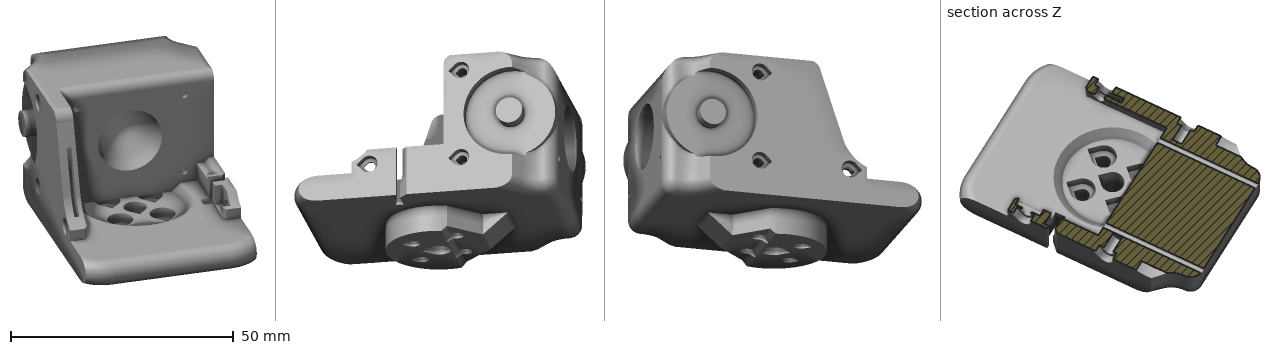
import cadquery as cq
import math

length = 60.2
half_width = 20.05
height = 32.9
base_thickness = 6
edge_radius = 2.95

block_depth = 25.05
inner_half_width = 16.0
nose_half_width = 16.2
nose_corner_radius = 3
flare_arc_radius = 6.1
flare_tangent_y = 19.0
top_front_radius = 6.5
block_rear_radius = 2.3

axis_z = 18.35
bore_y = 0.35
bore_diameter = 15.0
screw_diameter = 1.5
screw_span_y = 25.4
screw_span_z = 19.15

pivot_x = 10.0
pivot_disc_radius = 10.0
pivot_recess_radius = 10.5
pivot_face_y = 17.4
pin_diameter = 6
pin_end_y = 20.4

plate_end_x = 46.05
plate_top_x = 32.7
plate_corner_mid = (34.4, 32.2)
plate_slope_top = (35.3, 30.5)
plate_slope_foot = (40.8, 14.0)
plate_hollow_mid = (42.9, 10.95)
plate_shoulder_z = 8.7
plate_corner_chamfer = 0.6
low_plate_top = 11.45
nut_slot_start_x = 37.15
nut_slot_end_x = 43.35
nut_slot_inner_y = 17.05
nut_slot_outer_y = 18.2

side_hole_radius = 1.15
side_bore_radius = 2.0
side_bore_depth = 1.8
side_hole_depth = 6
side_hole_low_z = 7.95
side_hole_pitch = 21.0
side_hole_x = 21.15

rear_plan_radius = 9.5
rear_corner_y = 14.15

boss_x = 30.1
boss_radius = 12.0
boss_depth = 6.1
skirt_depth = 4.9
skirt_cut_x = 26.0
rib_half_width = 4.6
rib_start_x = 13.4
rib_end_x = 19.15
seat_top_radius = 13.25
seat_floor_radius = 11.3
seat_depth = 1.85
center_hole_radius = 2.65
mount_hole_radius = 1.6
mount_bore_radius = 2.95
mount_bore_depth = 2.4
mount_pitch = 9.95

slot_left_x = 35.4
slot_right_x = 37.0
slot_inner_y = 14.0
slot_lip_x = 35.9
slot_lip_y = 19.2
slot_chamfer = 1.9
slot_bevel_width = 1.0
slot_bevel_depth = 3
front_ledge_end_x = 33.5
rear_ledge_start_x = 39.0
rear_ledge_end_x = 45.3
rear_ledge_z = 6.6
ledge_outer_y = 17.75
ledge_wall_y = 18.85


def box_between(low, high):
    """Box spanned by two opposite corners."""
    size = [b - a for a, b in zip(low, high)]
    return cq.Workplane("XY").box(*size, centered=False).translate(low)


def cylinder_along_y(x, z, radius, y_start, y_end):
    """Cylinder parallel to Y between two Y positions."""
    start = cq.Vector(x, y_start, z)
    direction = cq.Vector(0, y_end - y_start, 0)
    return cq.Workplane(cq.Solid.makeCylinder(radius, direction.Length, start, direction))


def teardrop(plane, u, v, radius, depth):
    """Prism with a round outline that ends in a 45 degree point toward +X."""
    leg = radius / math.sqrt(2)
    return (
        cq.Workplane(plane)
        .moveTo(u + leg, v + leg)
        .threePointArc((u - radius, v), (u + leg, v - leg))
        .lineTo(u + 2 * leg, v)
        .close()
        .extrude(depth)
    )


def make_shell():
    """Flared plan outline with rounded edges, trimmed flat at both sides."""
    diagonal = math.sqrt(0.5)
    full_half_width = flare_tangent_y + edge_radius
    arc_end_x = nose_corner_radius + flare_arc_radius * diagonal
    arc_end_y = nose_half_width + flare_arc_radius * (1 - diagonal)
    arc_mid_x = nose_corner_radius + flare_arc_radius * math.sin(math.pi / 8)
    arc_mid_y = nose_half_width + flare_arc_radius * (1 - math.cos(math.pi / 8))
    flare_end_x = arc_end_x + full_half_width - arc_end_y
    corner_y = nose_half_width - nose_corner_radius
    corner_mid_x = nose_corner_radius * (1 - diagonal)
    corner_mid_y = corner_y + nose_corner_radius * diagonal
    shell = (
        cq.Workplane("XY")
        .moveTo(0, -corner_y)
        .lineTo(0, corner_y)
        .threePointArc((corner_mid_x, corner_mid_y), (nose_corner_radius, nose_half_width))
        .threePointArc((arc_mid_x, arc_mid_y), (arc_end_x, arc_end_y))
        .lineTo(flare_end_x, full_half_width)
        .lineTo(plate_end_x, full_half_width)
        .lineTo(plate_end_x, -full_half_width)
        .lineTo(flare_end_x, -full_half_width)
        .lineTo(arc_end_x, -arc_end_y)
        .threePointArc((arc_mid_x, -arc_mid_y), (nose_corner_radius, -nose_half_width))
        .threePointArc((corner_mid_x, -corner_mid_y), (0, -corner_y))
        .close()
        .extrude(height)
    )
    shell = shell.faces(">Z or <Z").edges("not >X").fillet(edge_radius)
    return shell.intersect(make_side_outline())


def make_side_outline():
    """Side silhouette of block and plates, as wide as the finished housing."""
    return (
        cq.Workplane("XZ", origin=(0, half_width, 0))
        .lineTo(plate_end_x, 0)
        .lineTo(plate_end_x, plate_shoulder_z)
        .threePointArc(plate_hollow_mid, plate_slope_foot)
        .lineTo(*plate_slope_top)
        .threePointArc(plate_corner_mid, (plate_top_x, height))
        .lineTo(top_front_radius, height)
        .radiusArc((0, height - top_front_radius), -top_front_radius)
        .close()
        .extrude(2 * half_width)
    )


def make_base():
    """Base plate whose rear end is a bullnose swept around rounded corners."""
    nose = base_thickness / 2
    center_x = length - rear_plan_radius
    nose_center = rear_plan_radius - nose
    base = box_between((block_depth / 2, -half_width, 0), (center_x, half_width, base_thickness))

    section = (
        cq.Workplane("XZ")
        .lineTo(nose_center, 0)
        .threePointArc((rear_plan_radius, nose), (nose_center, base_thickness))
        .lineTo(0, base_thickness)
        .close()
    )
    wire = section.val()
    straight = cq.Workplane("XZ").add(wire).toPending().extrude(rear_corner_y, both=True)
    corner = cq.Workplane("XZ").add(wire).toPending().revolve(360, (0, 0, 0), (0, 1, 0))
    base = base.union(straight.translate((center_x, 0, 0)))
    for side in (-1, 1):
        base = base.union(corner.translate((center_x, side * rear_corner_y, 0)))
    return base.intersect(box_between((0, -half_width, 0), (length, half_width, base_thickness)))


def make_boss():
    """Round boss with a flat-sided skirt and a 45 degree rib on its front."""
    bevel = boss_depth - skirt_depth
    boss = (
        cq.Workplane("XY", origin=(boss_x, 0, -boss_depth))
        .circle(boss_radius)
        .extrude(boss_depth + base_thickness / 2)
    )
    front_trim = (
        cq.Workplane("XZ", origin=(0, boss_radius, 0))
        .moveTo(boss_x - boss_radius, base_thickness)
        .lineTo(skirt_cut_x, base_thickness)
        .lineTo(skirt_cut_x, -skirt_depth)
        .lineTo(skirt_cut_x + bevel, -boss_depth)
        .lineTo(boss_x - boss_radius, -boss_depth)
        .close()
        .extrude(2 * boss_radius)
    )
    skirt_half_width = math.sqrt(boss_radius**2 - (boss_x - skirt_cut_x) ** 2)
    skirt = (
        cq.Workplane("XY", origin=(0, 0, -skirt_depth))
        .polyline([
            (rib_end_x, -rib_half_width),
            (skirt_cut_x, -skirt_half_width),
            (skirt_cut_x, skirt_half_width),
            (rib_end_x, rib_half_width),
        ])
        .close()
        .extrude(skirt_depth + base_thickness / 2)
    )
    rib = (
        cq.Workplane("XZ", origin=(0, rib_half_width, 0))
        .polyline([(rib_start_x, 0), (rib_end_x, -skirt_depth), (rib_end_x, 0)])
        .close()
        .extrude(2 * rib_half_width)
    )
    return boss.cut(front_trim).union(skirt).union(rib)


def make_cavity():
    """Open space above the base behind the block, with a rounded block edge."""
    chamfer_x = plate_end_x - plate_corner_chamfer
    wide_half_width = inner_half_width + plate_corner_chamfer
    cavity = (
        cq.Workplane("XY", origin=(0, 0, base_thickness))
        .polyline([
            (block_depth, -inner_half_width),
            (chamfer_x, -inner_half_width),
            (plate_end_x, -wide_half_width),
            (plate_end_x, wide_half_width),
            (chamfer_x, inner_half_width),
            (block_depth, inner_half_width),
        ])
        .close()
        .extrude(height)
    )
    above_low_plate = box_between(
        (block_depth, inner_half_width, low_plate_top),
        (plate_end_x, half_width, height),
    )
    corner_start = block_depth - block_rear_radius
    corner_z = height - block_rear_radius
    rounding = box_between(
        (corner_start, -inner_half_width, corner_z),
        (block_depth, half_width, height),
    ).cut(cylinder_along_y(corner_start, corner_z, block_rear_radius, -half_width, half_width))
    return cavity.union(above_low_plate).union(rounding)


def cut_low_plate(body):
    """Ledges along the inside of the +Y plate, the front one below a 45 degree wall."""
    upper_ledge_z = low_plate_top - (ledge_wall_y - ledge_outer_y)
    front_ledge = (
        cq.Workplane("YZ", origin=(block_depth, 0, 0))
        .moveTo(inner_half_width, upper_ledge_z)
        .lineTo(ledge_outer_y, upper_ledge_z)
        .lineTo(ledge_wall_y, low_plate_top)
        .lineTo(inner_half_width, low_plate_top)
        .close()
        .extrude(front_ledge_end_x - block_depth)
    )
    rear_ledge = box_between(
        (rear_ledge_start_x, inner_half_width, rear_ledge_z),
        (rear_ledge_end_x, ledge_outer_y, low_plate_top),
    )
    return body.cut(front_ledge).cut(rear_ledge)


def make_nut_slot():
    """Slot for a nut inside the -Y plate, open at the top."""
    return box_between(
        (nut_slot_start_x, -nut_slot_outer_y, base_thickness),
        (nut_slot_end_x, -nut_slot_inner_y, height),
    )


def make_cable_slot():
    """Vertical slot through the +Y plate and base with a slanted outer mouth."""
    slot = (
        cq.Workplane("XY")
        .moveTo(slot_left_x, slot_inner_y)
        .lineTo(slot_right_x, slot_inner_y)
        .lineTo(slot_right_x, slot_lip_y)
        .lineTo(slot_lip_x, slot_lip_y)
        .lineTo(slot_lip_x, half_width)
        .lineTo(slot_left_x - slot_chamfer, half_width)
        .lineTo(slot_left_x, half_width - slot_chamfer)
        .close()
        .extrude(height)
    )
    bevel_x = slot_left_x - slot_bevel_width
    bevel = (
        cq.Workplane("XZ", origin=(0, ledge_wall_y, 0))
        .polyline([
            (bevel_x, low_plate_top),
            (bevel_x, base_thickness),
            (slot_left_x, base_thickness - slot_bevel_depth),
            (slot_left_x, low_plate_top),
        ])
        .close()
        .extrude(ledge_wall_y - slot_inner_y)
    )
    return slot.union(bevel)


def add_pivots(body):
    """Disc face and pin at each side; the discs bulge past the slim nose."""
    for side in (-1, 1):
        disc = cylinder_along_y(pivot_x, axis_z, pivot_disc_radius, 0, side * pivot_face_y)
        recess = cylinder_along_y(
            pivot_x, axis_z, pivot_recess_radius, side * pivot_face_y, side * pin_end_y
        )
        pin = cylinder_along_y(
            pivot_x, axis_z, pin_diameter / 2, side * inner_half_width, side * pin_end_y
        )
        body = body.union(disc).cut(recess).union(pin)
    return body


def cut_seat(body):
    """Dished seat in the base with one central and four counterbored holes."""
    floor_z = base_thickness - seat_depth
    dish = cq.Workplane(
        cq.Solid.makeCone(
            seat_floor_radius, seat_top_radius, seat_depth, cq.Vector(boss_x, 0, floor_z)
        )
    )
    above_base = box_between(
        (block_depth, -inner_half_width, floor_z),
        (length, inner_half_width, height),
    )
    body = body.cut(dish.intersect(above_base))
    through = boss_depth + floor_z
    bottom = cq.Plane((0, 0, -boss_depth))
    bore_plane = cq.Plane((0, 0, floor_z - mount_bore_depth))
    body = body.cut(teardrop(bottom, boss_x, 0, center_hole_radius, through))
    for side_x in (-1, 1):
        for side_y in (-1, 1):
            x = boss_x + side_x * mount_pitch / 2
            y = side_y * mount_pitch / 2
            body = body.cut(teardrop(bottom, x, y, mount_hole_radius, through))
            body = body.cut(teardrop(bore_plane, x, y, mount_bore_radius, mount_bore_depth))
    return body


def cut_side_holes(body):
    """Two blind holes per side into the block and one through each plate."""
    positions = [
        (side_hole_x, side_hole_low_z),
        (side_hole_x, side_hole_low_z + side_hole_pitch),
        (side_hole_x + side_hole_pitch, side_hole_low_z),
    ]
    for side in (-1, 1):
        plane = cq.Plane((0, side * half_width, 0), xDir=(1, 0, 0), normal=(0, -side, 0))
        for x, z in positions:
            v = side * z
            body = body.cut(teardrop(plane, x, v, side_hole_radius, side_hole_depth))
            body = body.cut(teardrop(plane, x, v, side_bore_radius, side_bore_depth))
    return body


def cut_bearing_bore(body):
    """Bearing bore and four screw holes running the full depth of the block."""
    front = cq.Workplane("YZ", origin=(0, bore_y, axis_z))
    body = body.cut(front.circle(bore_diameter / 2).extrude(block_depth))
    screws = front.rect(screw_span_y, screw_span_z, forConstruction=True).vertices()
    return body.cut(screws.circle(screw_diameter / 2).extrude(block_depth))


body = make_shell().union(make_base()).cut(make_cavity()).union(make_boss())
body = cut_seat(body)
body = add_pivots(body)
body = cut_bearing_bore(body)
body = cut_side_holes(body)
body = cut_low_plate(body).cut(make_nut_slot())
result = body.cut(make_cable_slot())